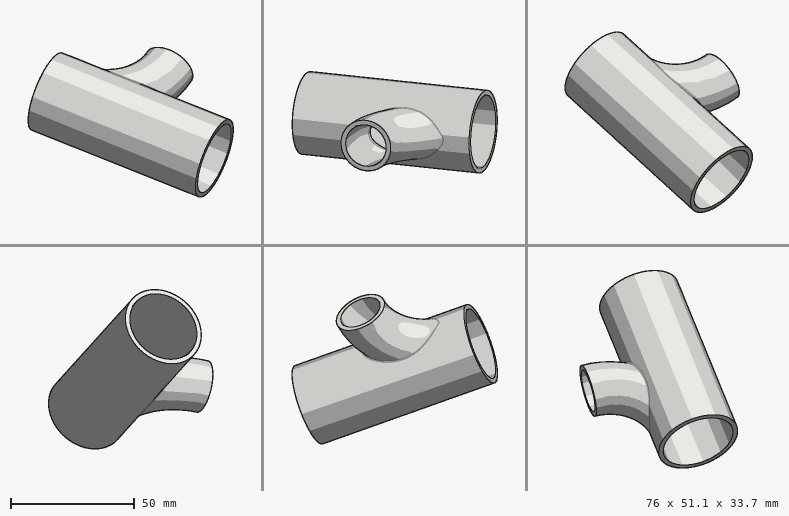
import cadquery as cq

pipe_length = 76.0
pipe_diameter = 33.7
pipe_bore = 29.7
wall = (pipe_diameter - pipe_bore) / 2

overall_width = 51.1
branch_diameter = 21.35
branch_bore = branch_diameter - 2 * wall
bend_radius = 28.1
bend_angle = 90.0
outlet_x = pipe_length / 2
outlet_y = overall_width - pipe_diameter / 2

outer_joint_radius = 0.5
inner_joint_radius = 2.0


def straight_run(diameter):
    """Solid cylinder along X over the full pipe length."""
    return cq.Workplane("YZ").circle(diameter / 2).extrude(pipe_length)


def elbow(diameter):
    """Solid bend that starts at the outlet face and turns from -Y towards -X."""
    outlet = cq.Workplane("XZ", origin=(outlet_x, outlet_y, 0)).circle(diameter / 2)
    return outlet.revolve(bend_angle, (-bend_radius, 0), (-bend_radius, -1))


def tee(run_diameter, elbow_diameter, joint_radius):
    """Solid pipe and elbow joined together, with their intersection curve rounded."""
    joined = straight_run(run_diameter).union(elbow(elbow_diameter))
    return joined.edges("%BSPLINE").fillet(joint_radius)


outside = tee(pipe_diameter, branch_diameter, outer_joint_radius)
cavity = tee(pipe_bore, branch_bore, inner_joint_radius)
result = outside.cut(cavity)